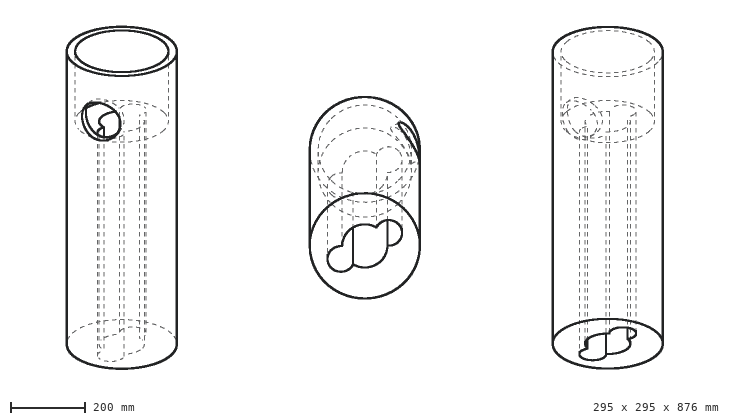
import cadquery as cq

length = 876.0
outer_diameter = 295.0
bore_diameter = 250.0

floor_height = 667.0
center_hole_diameter = 121.0
lobe_diameter = 72.0
lobe_offset = 74.0

window_diameter = 112.0
window_height = 733.0


def make_tube():
    body = cq.Workplane("XY").circle(outer_diameter / 2).extrude(length)
    bore = (
        cq.Workplane("XY", origin=(0, 0, floor_height))
        .circle(bore_diameter / 2)
        .extrude(length - floor_height)
    )
    return body.cut(bore)


def make_keyed_opening():
    center_hole = cq.Workplane("XY").circle(center_hole_diameter / 2).extrude(floor_height)
    lobes = (
        cq.Workplane("XY")
        .pushPoints([(0, -lobe_offset), (0, lobe_offset)])
        .circle(lobe_diameter / 2)
        .extrude(floor_height)
    )
    return center_hole.union(lobes)


def make_window():
    return (
        cq.Workplane("XZ", origin=(0, 0, window_height))
        .circle(window_diameter / 2)
        .extrude(outer_diameter)
    )


result = make_tube().cut(make_keyed_opening()).cut(make_window())